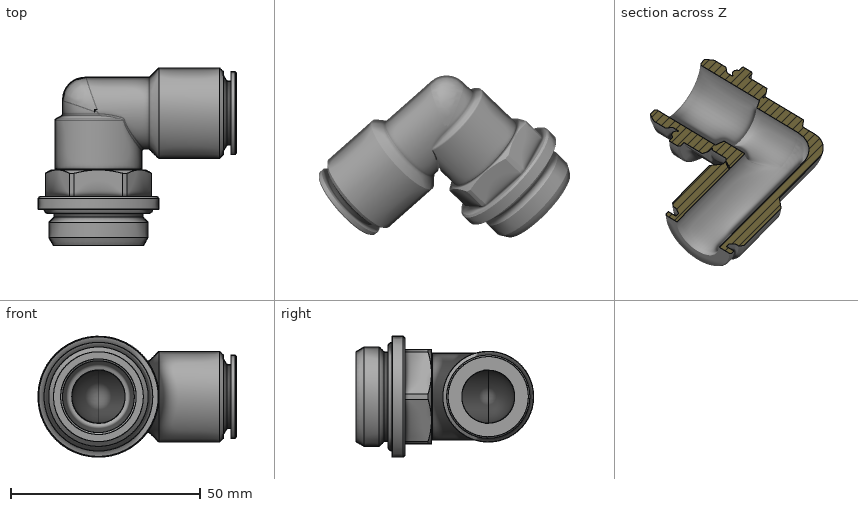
import cadquery as cq
import math


pipe_radius = 19.0 / 2
elbow_corner_radius = 6.0
corner_half_height = 9.45
inlet_bore_radius = 14.1 / 2
outlet_bore_radius = 14.0 / 2

outlet_end = 36.5
body_radius = 24.0 / 2
body_end = 33.0
body_end_chamfer = 1.0
body_cone_end = 15.95
body_cone_start = body_cone_end - (body_radius - pipe_radius)
body_root_fillet = 0.3
collet_cone_radius = 10.0
collet_cone_length = 1.0
collet_neck_radius = 16.95 / 2
collet_flange_radius = 22.0 / 2
collet_flange_thickness = 1.5
collet_flange_chamfer = 0.4

sleeve_radius = 23.0 / 2
sleeve_top = -0.5
shoulder_angle = math.radians(30)
shoulder_height = (sleeve_radius - pipe_radius) * math.tan(shoulder_angle)
sleeve_fillet = 0.5
sleeve_bottom = -14.75
gap_radius = 11.0

hex_top = -15.0
hex_sides = 6
hex_half_step = 180 / hex_sides
hex_across_flats = 25.0
hex_corner_radius = 28.1 / 2
hex_chamfer_angle = math.radians(30)
flange_radius = 32.0 / 2
flange_top = -22.0
flange_bottom = -25.5
flange_top_chamfer = 0.5
flange_bottom_chamfer = 0.2

seal_section_radius = 1.3
seal_bottom = -26.55

inlet_end = -35.0
spigot_neck_radius = 23.6 / 2
spigot_radius = 26.3 / 2
spigot_neck_end = -27.5
spigot_lead_length = 2.2
spigot_lead_angle = math.radians(30)
mouth_radius = 19.0 / 2
mouth_chamfer = 0.5
mouth_floor = hex_top
mouth_cone_angle = math.radians(68)


def revolve_about_y(points):
    """Revolve (radius, y) points around the Y axis."""
    return cq.Workplane("XY").polyline(points).close().revolve(axisStart=(0, 0), axisEnd=(0, 1))


def revolve_about_x(points):
    """Revolve (x, radius) points around the X axis."""
    return cq.Workplane("XY").polyline(points).close().revolve(axisStart=(0, 0), axisEnd=(1, 0))


def make_mitred_pipes():
    """Outlet and inlet pipes of equal radius, mitred at the origin."""
    reach = 2 * outlet_end
    outlet_side = (
        cq.Workplane("XY").polyline([(-reach, reach), (reach, reach), (reach, -reach)]).close()
        .extrude(reach, both=True)
    )
    outlet_pipe = make_outlet().intersect(outlet_side)
    inlet_pipe = cq.Workplane("XZ", origin=(0, pipe_radius, 0)).circle(pipe_radius)
    inlet_pipe = inlet_pipe.extrude(pipe_radius - sleeve_bottom).cut(outlet_side)
    return outlet_pipe.union(inlet_pipe)


def fillet_sleeve_joint(elbow):
    """Fillet the line where the sleeve meets the two pipes."""
    margin = 0.1
    joint_edges = cq.selectors.BoxSelector(
        (-pipe_radius - margin, -pipe_radius - margin, -pipe_radius - margin),
        (sleeve_radius + margin, sleeve_top + margin, pipe_radius + margin),
        boundingbox=True,
    )
    return elbow.edges(joint_edges).fillet(sleeve_fillet)


def round_outer_corner(elbow):
    """Round the outer mitre edge; the mitre flattens out above and below, so stop just short."""
    block_side = 2 * pipe_radius
    corner_block = cq.Workplane("XY").box(block_side, block_side, 2 * corner_half_height)
    corner_block = corner_block.translate((-block_side / 2, block_side / 2, 0))
    corner = elbow.intersect(corner_block)
    mitre_edge = cq.selectors.NearestToPointSelector((-pipe_radius, pipe_radius, 0))
    rounded_corner = corner.edges(mitre_edge).fillet(elbow_corner_radius)
    return elbow.cut(corner_block).union(rounded_corner)


def make_sleeve():
    """Round sleeve with a conical shoulder, joined to the hexagon by a narrower gap."""
    shoulder_bottom = sleeve_top - shoulder_height
    sleeve = revolve_about_y([
        (0, sleeve_top),
        (pipe_radius, sleeve_top),
        (sleeve_radius, shoulder_bottom),
        (sleeve_radius, sleeve_bottom),
        (gap_radius, sleeve_bottom),
        (gap_radius, hex_top),
        (0, hex_top),
    ])
    shoulder_edge = cq.selectors.BoxSelector(
        (-2 * sleeve_radius, shoulder_bottom - sleeve_fillet, -2 * sleeve_radius),
        (2 * sleeve_radius, shoulder_bottom + sleeve_fillet, 2 * sleeve_radius),
        boundingbox=True,
    )
    return sleeve.edges(shoulder_edge).fillet(sleeve_fillet)


def make_outlet():
    """Cylindrical body on the outlet axis with the grooved release collet at its end."""
    collet_flange_start = outlet_end - collet_flange_thickness
    outlet = revolve_about_x([
        (-pipe_radius, 0),
        (-pipe_radius, pipe_radius),
        (body_cone_start, pipe_radius),
        (body_cone_end, body_radius),
        (body_end - body_end_chamfer, body_radius),
        (body_end, body_radius - body_end_chamfer),
        (body_end, collet_cone_radius),
        (body_end + collet_cone_length, collet_neck_radius),
        (collet_flange_start, collet_neck_radius),
        (collet_flange_start, collet_flange_radius),
        (outlet_end - collet_flange_chamfer, collet_flange_radius),
        (outlet_end, collet_flange_radius - collet_flange_chamfer),
        (outlet_end, 0),
    ])
    body_root = cq.selectors.BoxSelector(
        (body_cone_start - body_root_fillet, -body_radius, -body_radius),
        (body_cone_start + body_root_fillet, body_radius, body_radius),
        boundingbox=True,
    )
    return outlet.edges(body_root).fillet(body_root_fillet)


def make_hexagon():
    """Hexagon with corners along X, turned down to a round and chamfered at the top."""
    hexagon = cq.Workplane("XZ", origin=(0, hex_top, 0))
    hexagon = hexagon.polygon(hex_sides, hex_across_flats, circumscribed=True)
    hexagon = hexagon.extrude(hex_top - flange_top)
    hexagon = hexagon.rotate((0, 0, 0), (0, 1, 0), hex_half_step)
    chamfer_radius = hex_across_flats / 2
    chamfer_height = (hex_corner_radius - chamfer_radius) * math.tan(hex_chamfer_angle)
    turned_blank = revolve_about_y([
        (0, hex_top),
        (chamfer_radius, hex_top),
        (hex_corner_radius, hex_top - chamfer_height),
        (hex_corner_radius, flange_top),
        (0, flange_top),
    ])
    return hexagon.intersect(turned_blank)


def make_spigot():
    """Flange and the threaded spigot below it, plain at the thread outer diameter."""
    neck_cone_height = spigot_radius - spigot_neck_radius
    lead_depth = spigot_lead_length * math.tan(spigot_lead_angle)
    return revolve_about_y([
        (0, flange_top),
        (flange_radius - flange_top_chamfer, flange_top),
        (flange_radius, flange_top - flange_top_chamfer),
        (flange_radius, flange_bottom + flange_bottom_chamfer),
        (flange_radius - flange_bottom_chamfer, flange_bottom),
        (spigot_neck_radius, flange_bottom),
        (spigot_neck_radius, spigot_neck_end),
        (spigot_radius, spigot_neck_end - neck_cone_height),
        (spigot_radius, inlet_end + spigot_lead_length),
        (spigot_radius - lead_depth, inlet_end),
        (0, inlet_end),
    ])


def make_seal():
    """Sealing ring of round section, seated on the spigot neck against the flange."""
    ring_radius = spigot_neck_radius + seal_section_radius
    ring_centre = seal_bottom + seal_section_radius
    section = cq.Workplane("XY").center(ring_radius, ring_centre).circle(seal_section_radius)
    return section.revolve(axisStart=(-ring_radius, 0), axisEnd=(-ring_radius, 1))


def make_inlet_bore():
    """Chamfered mouth with a conical floor, leading to the bore that meets the outlet axis."""
    cone_height = (mouth_radius - inlet_bore_radius) / math.tan(mouth_cone_angle)
    return revolve_about_y([
        (0, inlet_end),
        (mouth_radius + mouth_chamfer, inlet_end),
        (mouth_radius, inlet_end + mouth_chamfer),
        (mouth_radius, mouth_floor),
        (inlet_bore_radius, mouth_floor + cone_height),
        (inlet_bore_radius, 0),
        (0, 0),
    ])


def make_outlet_bore():
    """Straight bore through the outlet with a spherical end at the elbow."""
    bore = cq.Workplane("YZ").circle(outlet_bore_radius).extrude(outlet_end)
    return bore.union(cq.Workplane("XY").sphere(outlet_bore_radius))


fitting = make_mitred_pipes().union(make_sleeve())
fitting = fillet_sleeve_joint(fitting)
fitting = round_outer_corner(fitting)
fitting = fitting.union(make_hexagon()).union(make_spigot()).union(make_seal())
result = fitting.cut(make_inlet_bore()).cut(make_outlet_bore())